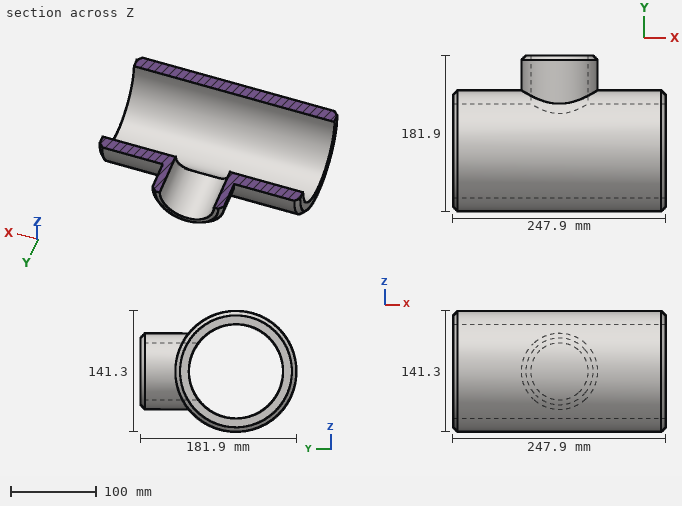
import cadquery as cq

run_length = 247.9
run_diameter = 141.3
run_wall = 15.88

branch_diameter = 88.9
branch_wall = 11.13
branch_reach = 111.25

bevel = 5.4

run_bore = run_diameter - 2 * run_wall
branch_bore = branch_diameter - 2 * branch_wall


def cylinder_along_x(diameter):
    """Cylinder on the X axis, as long as the run and centred on the origin."""
    return cq.Workplane("YZ").circle(diameter / 2).extrude(run_length / 2, both=True)


def cylinder_along_y(diameter):
    """Cylinder on the Y axis, from the run axis out to the branch end."""
    return cq.Workplane("XZ").circle(diameter / 2).extrude(-branch_reach)


run = cylinder_along_x(run_diameter).faces("<X or >X").edges().chamfer(bevel)
branch = cylinder_along_y(branch_diameter).faces(">Y").edges().chamfer(bevel)
body = run.union(branch)

result = body.cut(cylinder_along_x(run_bore)).cut(cylinder_along_y(branch_bore))